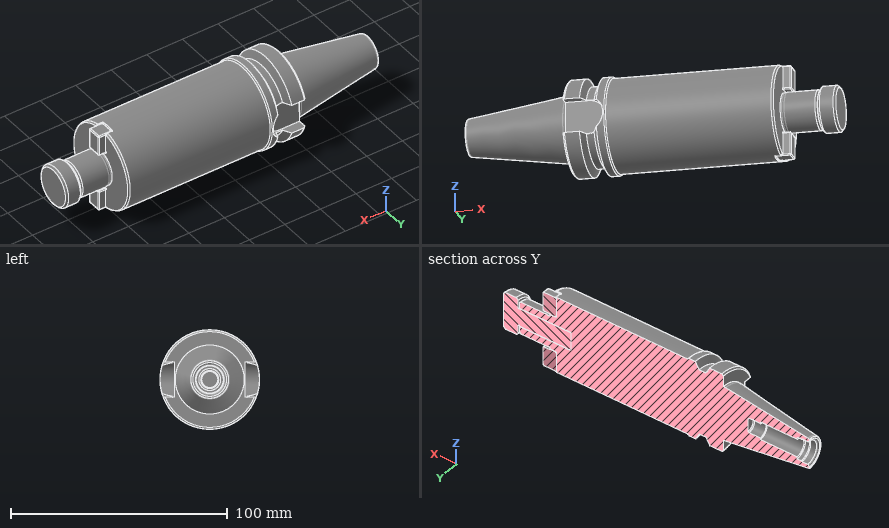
import cadquery as cq
import math

overall_length = 176.8
taper_end = 48.3
flange_start = 49.7
flange_end = 70.4
body_end = 150.1
arbor_end = 167.6
head_start = 168.1

gauge_diameter = 31.8
taper_ratio = 7 / 24
taper_small_diameter = gauge_diameter - taper_ratio * taper_end
tip_chamfer_length = 0.7
tip_chamfer_depth = 0.2

flange_diameter = 46.0
flange_front_chamfer = 0.9
flange_rear_chamfer = 0.7
groove_diameter = 38.2
groove_floor_start = 60.0
groove_floor_end = 63.6
groove_wall_angle = 60.0
groove_depth = (flange_diameter - groove_diameter) / 2
groove_wall_run = groove_depth / math.tan(math.radians(groove_wall_angle))

drive_slot_width = 16.3
drive_slot_end = 69.1
drive_slot_floor = 16.3

body_diameter = 44.5
body_chamfer_length = 1.0
body_chamfer_depth = 0.5
arbor_diameter = 19.1
relief_diameter = 18.5
relief_end = 150.8
relief_blend_end = 152.0
arbor_chamfer = 0.9

mouth_diameter = 15.5
mouth_inner_diameter = 13.8
mouth_depth = 0.5
pilot_diameter = 13.0
pilot_start = 0.9
pilot_end = 4.2
seat_diameter = 12.5
seat_start = 4.8
seat_end = 7.0
thread_diameter = 10.0
thread_end = 28.3
bore_end_diameter = 8.3
bore_tip_diameter = 7.5
bore_tip_start = 34.8
bore_depth = 35.4

key_length = 7.8
key_width = 8.0
key_start = 146.2
key_inner = 10.5
key_outer = 21.7
key_chamfer = 0.5
key_angles = (0, 180)

screw_head_diameter = 22.0
screw_head_chamfer = 1.0
screw_shank_diameter = 10.0
screw_shank_start = 137.9


def revolve_about_x(profile):
    """Solid of revolution about X from (x, diameter) points, closed along the axis."""
    points = [(x, diameter / 2) for x, diameter in profile]
    outline = [(points[0][0], 0)] + points + [(points[-1][0], 0)]
    return cq.Workplane("XZ").polyline(outline).close().revolve(360, (0, 0, 0), (1, 0, 0))


def box_between(x_range, y_range, z_range):
    """Box spanning the given ranges along X, Y and Z."""
    corner = (x_range[0], y_range[0], z_range[0])
    sizes = [high - low for low, high in (x_range, y_range, z_range)]
    return cq.Workplane("XY").box(*sizes, centered=False).translate(corner)


def make_holder_blank():
    tip_flat_diameter = taper_small_diameter - 2 * tip_chamfer_depth
    profile = [
        (0, tip_flat_diameter),
        (tip_chamfer_length, taper_small_diameter + taper_ratio * tip_chamfer_length),
        (taper_end, gauge_diameter),
        (flange_start, gauge_diameter),
        (flange_start, flange_diameter - 2 * flange_front_chamfer),
        (flange_start + flange_front_chamfer, flange_diameter),
        (groove_floor_start - groove_wall_run, flange_diameter),
        (groove_floor_start, groove_diameter),
        (groove_floor_end, groove_diameter),
        (groove_floor_end + groove_wall_run, flange_diameter),
        (flange_end - flange_rear_chamfer, flange_diameter),
        (flange_end, body_diameter),
        (body_end - body_chamfer_length, body_diameter),
        (body_end, body_diameter - 2 * body_chamfer_depth),
        (body_end, relief_diameter),
        (relief_end, relief_diameter),
        (relief_blend_end, arbor_diameter),
        (arbor_end - arbor_chamfer, arbor_diameter),
        (arbor_end, arbor_diameter - 2 * arbor_chamfer),
    ]
    return revolve_about_x(profile)


def make_pull_stud_bore():
    profile = [
        (0, mouth_diameter),
        (mouth_depth, mouth_inner_diameter),
        (pilot_start, pilot_diameter),
        (pilot_end, pilot_diameter),
        (seat_start, seat_diameter),
        (seat_end, seat_diameter),
        (seat_end, thread_diameter),
        (thread_end, thread_diameter),
        (thread_end, bore_end_diameter),
        (bore_tip_start, bore_end_diameter),
        (bore_depth, bore_tip_diameter),
    ]
    return revolve_about_x(profile)


def make_drive_slot(side):
    """Round-ended slot cutter on the +Y (side = 1) or -Y (side = -1) flank of the flange."""
    half_width = drive_slot_width / 2
    arc_start = drive_slot_end - half_width
    slot_depth = flange_diameter / 2 - drive_slot_floor
    floor_plane = cq.Workplane("XZ", origin=(0, side * drive_slot_floor, 0))
    return (
        floor_plane.moveTo(taper_end, -half_width)
        .lineTo(arc_start, -half_width)
        .threePointArc((drive_slot_end, 0), (arc_start, half_width))
        .lineTo(taper_end, half_width)
        .close()
        .extrude(-side * slot_depth)
    )


def make_key_seat():
    """Seat cutter for the upper key, open at the body's end face and outer surface."""
    half_width = key_width / 2
    return box_between((key_start, body_end), (-half_width, half_width), (key_inner, body_diameter / 2))


def make_key():
    half_width = key_width / 2
    block = box_between(
        (key_start, key_start + key_length), (-half_width, half_width), (key_inner, key_outer)
    )
    return block.edges().chamfer(key_chamfer)


def make_screw_hole():
    return revolve_about_x([(screw_shank_start, screw_shank_diameter), (arbor_end, screw_shank_diameter)])


def make_holder():
    holder = make_holder_blank().cut(make_pull_stud_bore()).cut(make_screw_hole())
    for side in (1, -1):
        holder = holder.cut(make_drive_slot(side))
    for angle in key_angles:
        holder = holder.cut(make_key_seat().rotate((0, 0, 0), (1, 0, 0), angle))
    return holder


def make_screw():
    face_diameter = screw_head_diameter - 2 * screw_head_chamfer
    profile = [
        (screw_shank_start, screw_shank_diameter),
        (head_start, screw_shank_diameter),
        (head_start, face_diameter),
        (head_start + screw_head_chamfer, screw_head_diameter),
        (overall_length - screw_head_chamfer, screw_head_diameter),
        (overall_length, face_diameter),
    ]
    return revolve_about_x(profile)


holder = make_holder()
keys = [make_key().rotate((0, 0, 0), (1, 0, 0), angle) for angle in key_angles]
screw = make_screw()

result = cq.Compound.makeCompound([holder.val(), *[key.val() for key in keys], screw.val()])